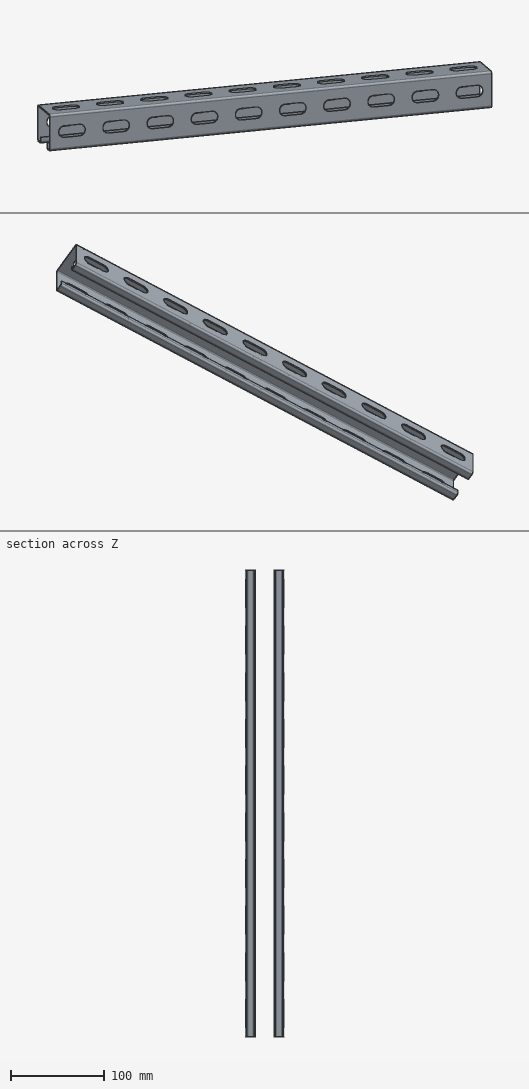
import cadquery as cq

LENGTH = 500.0
SIDE = 41.0
WALL = 1.5
OUTER_BEND = 2.5
MOUTH = 20.0
LIP_HEIGHT = 7.0

SLOT_COUNT = 10
SLOT_PITCH = LENGTH / SLOT_COUNT
SLOT_LENGTH = 30.0
SLOT_WIDTH = 13.0

ALONG_Y = (0, 1, 0)


def channel():
    """Bent sheet: its mid-thickness line is followed by the sheet's end face."""
    mid_bend = OUTER_BEND - WALL / 2
    mid_half = (SIDE - WALL) / 2
    lip_x = (MOUTH + WALL) / 2
    lip_top = LIP_HEIGHT - SIDE / 2

    sharp_line = cq.Wire.makePolygon(
        [
            cq.Vector(-lip_x, 0, lip_top),
            cq.Vector(-lip_x, 0, -mid_half),
            cq.Vector(-mid_half, 0, -mid_half),
            cq.Vector(-mid_half, 0, mid_half),
            cq.Vector(mid_half, 0, mid_half),
            cq.Vector(mid_half, 0, -mid_half),
            cq.Vector(lip_x, 0, -mid_half),
            cq.Vector(lip_x, 0, lip_top),
        ]
    )
    corners = sharp_line.Vertices()[1:-1]
    bent_line = sharp_line.fillet2D(mid_bend, corners)

    lip_tip = cq.Workplane("XY", origin=(-lip_x, 0, lip_top)).rect(WALL, LENGTH)
    return lip_tip.sweep(cq.Workplane(obj=bent_line))


def slot_row(direction):
    """Row of slot outlines on the centre plane, lengthwise in Y and facing the direction."""
    plane = cq.Plane(origin=(0, 0, 0), xDir=ALONG_Y, normal=direction)
    row = cq.Workplane(plane).rarray(SLOT_PITCH, SLOT_PITCH, SLOT_COUNT, 1)
    return row.slot2D(SLOT_LENGTH, SLOT_WIDTH)


top_slots = slot_row((0, 0, 1)).extrude(SIDE)
side_slots = slot_row((1, 0, 0)).extrude(SIDE, both=True)

result = channel().cut(top_slots).cut(side_slots)